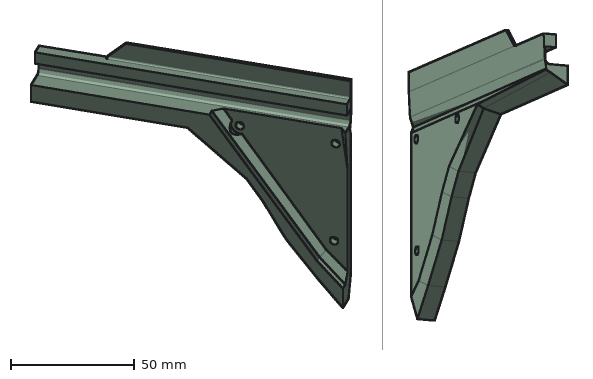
import cadquery as cq

LENGTH = 133.0
HEIGHT = 102.0
BACK_Y = 11.6

SHELF_Z = 81.3
ARM_BOTTOM_Z = 73.3
ARM_END_X = 66.8
EDGE_Y = 7.7
PLATE_BACK_Y = 10.5
ARM_DRAFT_TIP = 4.5
ARM_DRAFT_ROOT = 1.9
BEVEL_RISE_ARM = 1.5
BEVEL_SHIFT_X = 3.2
BEVEL_SHIFT_Z = 2.4
BEVEL_RISE_CORNER = 9.0
CURVED_EDGE = [(91.9, 53.7), (98.8, 44.4), (108.7, 28.3), (122.2, 12.0)]

RELIEF_Y = 9.6
RELIEF_START_Z = 76.9
RELIEF_FULL_Z = 79.3

PLATE_FRONT_Y = 6.4
POCKET_WALL_Y = 3.2
RIB_EDGE = [(76.1, SHELF_Z), (122.1, 20.2), (LENGTH, 9.3)]
POCKET_FLOOR = [(80.0, SHELF_Z), (123.8, 22.3), (LENGTH, 13.7)]
GUSSET_WIDTH = 2.7
GUSSET_HEIGHT = 19.7
GUSSET_DEPTH = 3.0

HOLE_DIAMETER = 3.5
CLEARANCE_RADIUS = 3.7
RIB_HOLE = (87.0, 74.3)
HOLES = [RIB_HOLE, (127.8, 73.4), (127.1, 27.1)]

WALL_FRONT_Y = 10.0
WALL_BASE_Y = 11.0
WALL_BASE_Z = 83.4
WALL_TAPER = 0.8
SHELF_FILLET = 2.0
RAIL_FRONT_Y = 5.2
RAIL_BOTTOM_Z = 88.5
RAIL_TOP_Z = 93.8
RAIL_FILLET = 0.8
FIN_FOOT_X = 28.7
FIN_TOP_X = 37.2


def outline_wire(points, y):
    """Closed polygon of (x, z) points in the plane at depth y."""
    return cq.Wire.makePolygon([cq.Vector(x, y, z) for x, z in points], close=True)


def ruled_solid(sections):
    """Straight-sided solid through (points, y) sections."""
    wires = [outline_wire(points, y) for points, y in sections]
    return cq.Workplane(cq.Solid.makeLoft(wires, True))


def full_length_bar(profile):
    """Bar of (y, z) cross-section running the whole length along X."""
    return cq.Workplane("YZ").polyline(profile).close().extrude(LENGTH)


def plate_outline(tip_rise=0, root_rise=0, shift_x=0, shift_z=0, corner_rise=0):
    """Arm and plate outline, with its lower edge moved inward by the given amounts."""
    lower_edge = [(x + shift_x, z + shift_z) for x, z in CURVED_EDGE]
    return [
        (0, SHELF_Z),
        (0, ARM_BOTTOM_Z + tip_rise),
        (ARM_END_X, ARM_BOTTOM_Z + root_rise),
        *lower_edge,
        (LENGTH, corner_rise),
        (LENGTH, SHELF_Z),
    ]


def make_body():
    """Solid arm and plate with a bevelled rear edge and a groove along the back."""
    front = plate_outline()
    edge = plate_outline(ARM_DRAFT_TIP, ARM_DRAFT_ROOT)
    back = plate_outline(
        ARM_DRAFT_TIP + BEVEL_RISE_ARM,
        ARM_DRAFT_ROOT + BEVEL_RISE_ARM,
        BEVEL_SHIFT_X,
        BEVEL_SHIFT_Z,
        BEVEL_RISE_CORNER,
    )
    square_part = ruled_solid([(front, 0), (edge, EDGE_Y)])
    bevelled_part = ruled_solid([(edge, EDGE_Y), (back, PLATE_BACK_Y)])
    groove = full_length_bar([
        (PLATE_BACK_Y, RELIEF_START_Z),
        (RELIEF_Y, RELIEF_FULL_Z),
        (RELIEF_Y, SHELF_Z),
        (PLATE_BACK_Y, SHELF_Z),
    ])
    return square_part.union(bevelled_part).cut(groove)


def make_pocket():
    """Triangular recess behind the diagonal rib, with a sloped foot along the rib."""
    corner = (LENGTH, SHELF_Z)
    rim = RIB_EDGE + [corner]
    floor = POCKET_FLOOR + [corner]
    straight = ruled_solid([(rim, 0), (rim, POCKET_WALL_Y)])
    sloped = ruled_solid([(rim, POCKET_WALL_Y), (floor, PLATE_FRONT_Y)])
    return straight.union(sloped)


def make_gusset():
    """Three-sided wedge in the upper corner of the pocket."""
    corner = cq.Vector(LENGTH, PLATE_FRONT_Y, SHELF_Z)
    side = corner - cq.Vector(GUSSET_WIDTH, 0, 0)
    bottom = corner - cq.Vector(0, 0, GUSSET_HEIGHT)
    tip = corner - cq.Vector(0, GUSSET_DEPTH, 0)
    triangles = [
        (corner, side, bottom),
        (corner, side, tip),
        (corner, bottom, tip),
        (side, bottom, tip),
    ]
    faces = [cq.Face.makeFromWires(cq.Wire.makePolygon(list(t), close=True)) for t in triangles]
    return cq.Workplane(cq.Solid.makeSolid(cq.Shell.makeShell(faces)))


def cylinders(centers, radius, depth):
    """Cylinders running back from the front face to a depth."""
    return cq.Workplane("XZ").pushPoints(centers).circle(radius).extrude(-depth)


def wall_section(workplane, thinning):
    """Upright wall cross-section with its back moved forward by the thinning."""
    return (
        workplane
        .moveTo(RELIEF_Y - SHELF_FILLET, RELIEF_FULL_Z)
        .lineTo(RELIEF_Y, RELIEF_FULL_Z)
        .lineTo(WALL_BASE_Y - thinning, WALL_BASE_Z)
        .lineTo(BACK_Y - thinning, RAIL_TOP_Z)
        .lineTo(BACK_Y - thinning, HEIGHT)
        .lineTo(WALL_FRONT_Y, HEIGHT)
        .lineTo(WALL_FRONT_Y, SHELF_Z + SHELF_FILLET)
        .radiusArc((WALL_FRONT_Y - SHELF_FILLET, SHELF_Z), SHELF_FILLET)
        .close()
    )


def make_wall():
    """Tapered wall above the shelf, its upper fin cut at a slant near the free end."""
    free_end = wall_section(cq.Workplane("YZ"), WALL_TAPER)
    wall = wall_section(free_end.workplane(offset=LENGTH), 0).loft(ruled=True)
    fin_corner = (
        cq.Workplane("XZ")
        .polyline([(0, RAIL_TOP_Z), (FIN_FOOT_X, RAIL_TOP_Z), (FIN_TOP_X, HEIGHT), (0, HEIGHT)])
        .close()
        .extrude(-BACK_Y)
    )
    return wall.cut(fin_corner)


def make_rail():
    """Square rail with a small fillet between its top and the fin."""
    fillet_start_x = FIN_FOOT_X + RAIL_FILLET
    bar = full_length_bar([
        (RAIL_FRONT_Y, RAIL_BOTTOM_Z),
        (WALL_FRONT_Y, RAIL_BOTTOM_Z),
        (WALL_FRONT_Y, RAIL_TOP_Z),
        (RAIL_FRONT_Y, RAIL_TOP_Z),
    ])
    fillet = (
        cq.Workplane("YZ", origin=(fillet_start_x, 0, 0))
        .moveTo(WALL_FRONT_Y, RAIL_TOP_Z)
        .lineTo(WALL_FRONT_Y, RAIL_TOP_Z + RAIL_FILLET)
        .radiusArc((WALL_FRONT_Y - RAIL_FILLET, RAIL_TOP_Z), RAIL_FILLET)
        .close()
        .extrude(LENGTH - fillet_start_x)
    )
    return bar.union(fillet)


body = make_body().cut(make_pocket())
body = body.cut(cylinders([RIB_HOLE], CLEARANCE_RADIUS, PLATE_FRONT_Y))
body = body.cut(cylinders(HOLES, HOLE_DIAMETER / 2, PLATE_BACK_Y))
result = body.union(make_gusset()).union(make_wall()).union(make_rail())